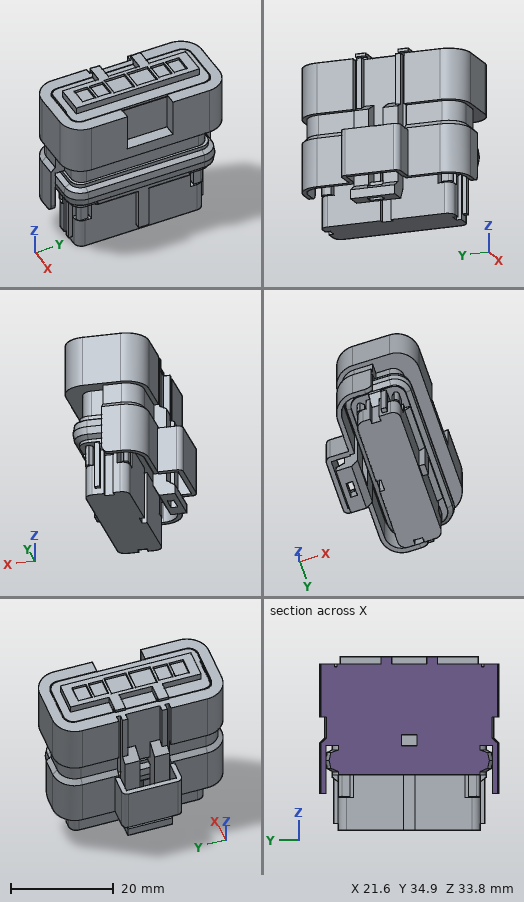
import cadquery as cq


COLLAR_HALF_X = 8.35
COLLAR_HALF_Y = 17.43
COLLAR_RADIUS = 4.55
COLLAR_BOTTOM = 22.0
COLLAR_TOP = 32.35
NECK_INSET = 0.95
SKIRT_BOTTOM = 7.14
SKIRT_TOP = 17.95
SKIRT_END_X = 0.0
SKIRT_FOOT_RADIUS = 1.4

NOTCH_HALF_Y = 4.97
NOTCH_DEPTH = 8.0

PLUG_HALF_X = 4.41
PLUG_HALF_Y = 13.83
PLUG_RADIUS = 1.6
CORE_OFFSET = 0.65
FLANGE_OFFSET = 1.16
FLANGE_RADIUS = 2.3
SEAL_LIP_OFFSET = 2.18
SEAL_PEAK_OFFSET = 2.44
FLANGE_BOTTOM = 10.76
FLANGE_TOP = 16.45
SEAL_BOTTOM = 11.39
SEAL_TOP = 15.66
SEAL_LIP_BOTTOM = 12.07
SEAL_LIP_TOP = 15.1

RIB_BOTTOM = 1.3
SIDE_RIB_X = (1.1, 2.16)
SIDE_RIB_HEIGHT = 0.87
BACK_RIB_WIDTH = 2.2
SIDE_GROOVE_X = (-1.37, 0.46)
FRONT_GROOVE_WIDTH = 2.2
GROOVE_DEPTH = 1.0
RAMP_SLOPE = 0.765
RAMP_TOP = 10.32
BACK_RAMP_HALF_Y = 10.0
CORNER_POCKET_X = 2.2
CORNER_POCKET_Y = 3.0
CORNER_POCKET_BOTTOM = 6.35
POST_X = 1.5
POST_Y = 2.2
POST_INSET = 0.1
POST_RADIUS = 0.7
POST_CHAMFER = 0.65
POST_BOTTOM = 6.6

INSERT_HALF_X = 5.76
INSERT_HALF_Y = 15.24
INSERT_RADIUS = 2.0
INSERT_GAP = 0.15
INSERT_WIDE_GAP = 0.37
INSERT_WIDE_GAP_END_X = 1.73
INSERT_GAP_DEPTH = 0.5
BLOCK_X = (-2.93, 3.06)
BLOCK_HALF_Y = 13.45
BLOCK_TOP = 33.8
WINDOW_DEPTH = 0.5
SMALL_WINDOW = (3.66, 2.86)
LARGE_WINDOW = (4.3, 4.45)
SMALL_WINDOW_Y = (6.66, 10.0)
LARGE_WINDOW_Y = (2.49,)
TAB_END_X = -6.68
TAB_FOOT_X = -5.64
TAB_UNDERSIDE = 33.2
TAB_Y = 4.45
TAB_WIDTH = 2.1

RECESS_X = -7.04
RECESS_HALF_Y = 5.37
RAIL_INNER_Y = 3.53
LATCH_HALF_Y = 4.6
LATCH_FACE_X = -9.75
LATCH_TOP = 22.79
LATCH_SHOULDER = 21.25
LATCH_TOE_X = -11.47
LATCH_TOE_TOP = 4.68
LATCH_HEEL_X = -8.28
LATCH_HEEL_TOP = 5.1
LATCH_ANKLE = 5.85
LATCH_BOTTOM = 2.85
LATCH_GAP_HALF_Y = 1.5
BRIDGE_FACE_X = -9.12
BRIDGE_TOP = 6.5
LATCH_PORT_TOP = 18.57
TOE_SLOT_END_X = -10.45
GUARD_OUTER_X = -13.25
GUARD_HALF_Y = 6.15
GUARD_WALL = 1.0
GUARD_TOP = 16.57
GUARD_RADIUS = 1.06


def box(x_range, y_range, z_range):
    """Box between two limits along each axis."""
    (x0, x1), (y0, y1), (z0, z1) = x_range, y_range, z_range
    return cq.Workplane("XY").box(x1 - x0, y1 - y0, z1 - z0, centered=False).translate((x0, y0, z0))


def rounded_prism(half_x, half_y, radius, z0, z1):
    """Upright prism with a rounded rectangular outline about the Z axis."""
    prism = box((-half_x, half_x), (-half_y, half_y), (z0, z1))
    return prism.edges("|Z").fillet(radius)


def plug_prism(offset, z0, z1):
    """Prism of the plug outline grown by an offset, with its corners about the plug's corner centres."""
    return rounded_prism(PLUG_HALF_X + offset, PLUG_HALF_Y + offset, PLUG_RADIUS + offset, z0, z1)


def flange_prism(offset, z0, z1):
    """Prism of the plug outline grown by an offset, with its corners about the flange's corner centres."""
    radius = FLANGE_RADIUS + offset - FLANGE_OFFSET
    return rounded_prism(PLUG_HALF_X + offset, PLUG_HALF_Y + offset, radius, z0, z1)


def collar_prism(inset, z0, z1):
    """Prism whose outline is the collar outline shrunk by an inset."""
    return rounded_prism(COLLAR_HALF_X - inset, COLLAR_HALF_Y - inset, COLLAR_RADIUS - inset, z0, z1)


def flange_outline(offset, z):
    """Flange outline wire at one height."""
    return flange_prism(offset, z, z + 1).faces("<Z").wires().val()


def seal_half(z_mid, z_lip, z_end):
    """Half of the seal, tapering from its peak to the lip and on to the flange."""
    half = None
    steps = (
        (SEAL_PEAK_OFFSET, z_mid, SEAL_LIP_OFFSET, z_lip),
        (SEAL_LIP_OFFSET, z_lip, FLANGE_OFFSET, z_end),
    )
    for offset0, z0, offset1, z1 in steps:
        lower = flange_outline(offset0, z0)
        upper = flange_outline(offset1, z1)
        ring = cq.Workplane(cq.Solid.makeLoft([lower, upper], True))
        half = ring if half is None else half.union(ring)
    return half


def mirrored(solid, x_sign, y_sign):
    """Copy of a solid, flipped in X and Y where the signs are negative."""
    if x_sign < 0:
        solid = solid.mirror("YZ")
    if y_sign < 0:
        solid = solid.mirror("XZ")
    return solid


def make_collar():
    """Upper collar, with the notch in its +X wall."""
    collar = collar_prism(0, COLLAR_BOTTOM, COLLAR_TOP)
    notch = box(
        (INSERT_HALF_X, COLLAR_HALF_X),
        (-NOTCH_HALF_Y, NOTCH_HALF_Y),
        (COLLAR_TOP - NOTCH_DEPTH, COLLAR_TOP),
    )
    return collar.cut(notch)


def make_skirt():
    """Neck and hollow skirt round the -X half of the seal."""
    neck = collar_prism(NECK_INSET, FLANGE_TOP, COLLAR_BOTTOM)
    skirt = collar_prism(0, SKIRT_BOTTOM, SKIRT_TOP).faces(">Z").chamfer(NECK_INSET)
    cavity = collar_prism(NECK_INSET, SKIRT_BOTTOM, FLANGE_TOP)
    half = box(
        (-COLLAR_HALF_X, SKIRT_END_X),
        (-COLLAR_HALF_Y, COLLAR_HALF_Y),
        (SKIRT_BOTTOM, COLLAR_BOTTOM),
    )
    half = half.edges(">X and <Z").fillet(SKIRT_FOOT_RADIUS)
    return skirt.cut(cavity).union(neck).intersect(half)


def make_seal():
    """Neck core, flanges and the seal between them."""
    core = plug_prism(CORE_OFFSET, FLANGE_TOP, COLLAR_BOTTOM)
    flange = flange_prism(FLANGE_OFFSET, FLANGE_BOTTOM, FLANGE_TOP)
    z_mid = (SEAL_LIP_BOTTOM + SEAL_LIP_TOP) / 2
    upper = seal_half(z_mid, SEAL_LIP_TOP, SEAL_TOP)
    lower = seal_half(z_mid, SEAL_LIP_BOTTOM, SEAL_BOTTOM)
    return core.union(flange).union(upper).union(lower)


def ramp_profile(half_size):
    """Profile of the sloped rest under the flange, from the groove floor out to the flange rim."""
    inner = half_size - GROOVE_DEPTH
    outer = half_size + FLANGE_OFFSET
    foot = RAMP_TOP - (outer - inner) * RAMP_SLOPE
    return [(inner, foot), (outer, RAMP_TOP), (outer, FLANGE_BOTTOM), (inner, FLANGE_BOTTOM)]


def make_plug():
    """Plug body below the seal, with key ribs, grooves and corner pockets."""
    plug = plug_prism(0, 0, FLANGE_BOTTOM)
    full_height = (0, FLANGE_BOTTOM)
    pocket_height = (CORNER_POCKET_BOTTOM, FLANGE_BOTTOM)
    rib_height = (RIB_BOTTOM, FLANGE_BOTTOM)
    pocket = box(
        (PLUG_HALF_X - CORNER_POCKET_X, PLUG_HALF_X),
        (PLUG_HALF_Y - CORNER_POCKET_Y, PLUG_HALF_Y),
        pocket_height,
    )
    post_corner_x = PLUG_HALF_X - POST_INSET
    post_corner_y = PLUG_HALF_Y - POST_INSET
    post = box(
        (post_corner_x - POST_X, post_corner_x),
        (post_corner_y - POST_Y, post_corner_y),
        (POST_BOTTOM, FLANGE_BOTTOM),
    )
    post = post.edges("|Z and >X and >Y").fillet(POST_RADIUS)
    post = post.edges("|Z and <X and >Y").chamfer(POST_CHAMFER)
    groove = box(SIDE_GROOVE_X, (PLUG_HALF_Y - GROOVE_DEPTH, PLUG_HALF_Y), full_height)
    rib = box(SIDE_RIB_X, (PLUG_HALF_Y - GROOVE_DEPTH, PLUG_HALF_Y + SIDE_RIB_HEIGHT), rib_height)
    side_ramp = (
        cq.Workplane("YZ", origin=(SIDE_GROOVE_X[0], 0, 0))
        .polyline(ramp_profile(PLUG_HALF_Y))
        .close()
        .extrude(SIDE_RIB_X[0] - SIDE_GROOVE_X[0])
    )
    for side in (1, -1):
        for end in (1, -1):
            plug = plug.cut(mirrored(pocket, end, side)).union(mirrored(post, end, side))
        plug = plug.cut(mirrored(groove, 1, side)).union(mirrored(rib, 1, side))
        plug = plug.union(mirrored(side_ramp, 1, side))

    front_groove = box(
        (-PLUG_HALF_X, -PLUG_HALF_X + GROOVE_DEPTH),
        (-FRONT_GROOVE_WIDTH / 2, FRONT_GROOVE_WIDTH / 2),
        full_height,
    )
    back_rib = box(
        (PLUG_HALF_X - GROOVE_DEPTH, PLUG_HALF_X + FLANGE_OFFSET),
        (-BACK_RIB_WIDTH / 2, BACK_RIB_WIDTH / 2),
        rib_height,
    )
    back_ramp = cq.Workplane("XZ").polyline(ramp_profile(PLUG_HALF_X)).close()
    back_ramp = back_ramp.extrude(BACK_RAMP_HALF_Y, both=True)
    return plug.cut(front_groove).union(back_rib).union(back_ramp)


def insert_gap():
    """Narrow groove in the top face round the insert."""
    z_range = (COLLAR_TOP - INSERT_GAP_DEPTH, COLLAR_TOP)
    outer = rounded_prism(INSERT_HALF_X, INSERT_HALF_Y, INSERT_RADIUS, *z_range)
    inner = rounded_prism(INSERT_HALF_X - INSERT_GAP, INSERT_HALF_Y - INSERT_GAP, INSERT_RADIUS, *z_range)
    wide_gap = box(
        (-INSERT_HALF_X, INSERT_WIDE_GAP_END_X),
        (-INSERT_HALF_Y, -INSERT_HALF_Y + INSERT_WIDE_GAP),
        z_range,
    )
    return outer.cut(inner.cut(wide_gap))


def make_block():
    """Raised block with six shallow windows and two hooked tabs."""
    block = box(BLOCK_X, (-BLOCK_HALF_Y, BLOCK_HALF_Y), (COLLAR_TOP, BLOCK_TOP))
    window_z = (BLOCK_TOP - WINDOW_DEPTH, BLOCK_TOP)
    for (width, length), places in ((SMALL_WINDOW, SMALL_WINDOW_Y), (LARGE_WINDOW, LARGE_WINDOW_Y)):
        for place in places:
            for y in (place, -place):
                window = box((-width / 2, width / 2), (y - length / 2, y + length / 2), window_z)
                block = block.cut(window)
    for y in (TAB_Y, -TAB_Y):
        y_range = (y - TAB_WIDTH / 2, y + TAB_WIDTH / 2)
        foot = box((TAB_FOOT_X, BLOCK_X[0]), y_range, (COLLAR_TOP, BLOCK_TOP))
        hook = box((TAB_END_X, TAB_FOOT_X), y_range, (TAB_UNDERSIDE, BLOCK_TOP))
        block = block.union(foot).union(hook)
    return block


def latch_recess():
    """Recess behind the latch, with a rail left standing at each side of the collar."""
    y_range = (-RECESS_HALF_Y, RECESS_HALF_Y)
    recess = box((-COLLAR_HALF_X, RECESS_X), y_range, (SKIRT_BOTTOM, COLLAR_TOP))
    for y_rail in ((RAIL_INNER_Y, LATCH_HALF_Y), (-LATCH_HALF_Y, -RAIL_INNER_Y)):
        recess = recess.cut(box((-COLLAR_HALF_X, RECESS_X), y_rail, (COLLAR_BOTTOM, COLLAR_TOP)))
    return recess


def latch_port():
    """Opening between the latch arms from the recess through to the plug core."""
    return box(
        (RECESS_X, -PLUG_HALF_X - CORE_OFFSET),
        (-LATCH_GAP_HALF_Y, LATCH_GAP_HALF_Y),
        (FLANGE_TOP, LATCH_PORT_TOP),
    )


def make_latch():
    """Latch with two arms joined by a bridge at the foot, ending in a slotted toe."""
    profile = [
        (RECESS_X, LATCH_TOP),
        (LATCH_FACE_X, LATCH_SHOULDER),
        (LATCH_FACE_X, LATCH_ANKLE),
        (LATCH_TOE_X, LATCH_TOE_TOP),
        (LATCH_TOE_X, LATCH_BOTTOM),
        (LATCH_HEEL_X, LATCH_BOTTOM),
        (RECESS_X, LATCH_HEEL_TOP),
    ]
    latch = cq.Workplane("XZ").polyline(profile).close().extrude(LATCH_HALF_Y, both=True)
    y_gap = (-LATCH_GAP_HALF_Y, LATCH_GAP_HALF_Y)
    toe_slot = box((TOE_SLOT_END_X, BRIDGE_FACE_X), y_gap, (LATCH_BOTTOM, LATCH_TOP))
    arm_gap = box((BRIDGE_FACE_X, RECESS_X), y_gap, (BRIDGE_TOP, LATCH_TOP))
    return latch.cut(toe_slot).cut(arm_gap)


def make_guard():
    """U-shaped guard round the latch."""
    z_range = (SKIRT_BOTTOM, GUARD_TOP)
    inner_half_y = GUARD_HALF_Y - GUARD_WALL
    guard = box((GUARD_OUTER_X, RECESS_X), (-GUARD_HALF_Y, GUARD_HALF_Y), z_range)
    guard = guard.edges("|Z and <X").fillet(GUARD_RADIUS)
    guard = guard.intersect(box((GUARD_OUTER_X, -COLLAR_HALF_X), (-GUARD_HALF_Y, GUARD_HALF_Y), z_range))
    return guard.cut(box((GUARD_OUTER_X + GUARD_WALL, RECESS_X), (-inner_half_y, inner_half_y), z_range))


result = make_collar().union(make_skirt())
result = result.cut(latch_recess()).cut(latch_port()).cut(insert_gap())
result = result.union(make_seal()).union(make_plug())
result = result.union(make_block()).union(make_latch()).union(make_guard())